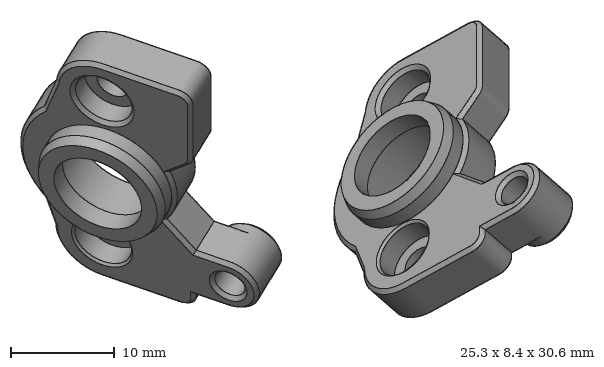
import cadquery as cq
import math


plate_thickness = 4.5
edge_chamfer = 0.4
corner_radius = 1.5
left_lobe_radius = 9.5
right_lobe_radius = 7.1
upper_edge_x = 8.77
lower_edge_x = 9.1
upper_slope_drop = 3.05

boss_radius = 13.38 / 2
boss_height = 2.5
boss_chamfer_radial = 0.4
boss_chamfer_axial = 1.0
bore_diameter = 9.3
bearing_seat_diameter = 11.2
bearing_seat_depth = 5.0

screw_x = -0.7
upper_screw_z = 10.5
lower_screw_z = -10.0
screw_hole_diameter = 3.4
counterbore_diameter = 6.0
counterbore_depth = 2.5
upper_counterbore_chamfer = 0.4
lower_counterbore_chamfer = 0.25

upper_end_radius = 5.0
lower_end_radius = 5.09
upper_flank_top_z = 10.93
upper_flank_bottom_z = 6.42
lower_flank_top_z = -6.57

lug_x = 12.665
lug_z = lower_screw_z
lug_radius = 6.25 / 2
lug_pin_height = 1.4
lug_hole_diameter = 3.2
lug_hole_chamfer = 0.4


def arc_point(center, radius, angle_degrees):
    """Point on a circle, with the angle measured from +X towards +Z."""
    angle = math.radians(angle_degrees)
    return (center[0] + radius * math.cos(angle), center[1] + radius * math.sin(angle))


def left_point(center, radius, z):
    """Point on the left half of a circle at height z."""
    return (center[0] - math.sqrt(radius**2 - (z - center[1]) ** 2), z)


def lobe_point(offset, side):
    """Point where the 45 degree line x - side * z = offset crosses the right lobe."""
    half_offset = offset / 2
    run = math.sqrt(right_lobe_radius**2 / 2 - half_offset**2)
    return (half_offset + run, side * (run - half_offset))


def cylinder(center, radius, y_front, y_back):
    """Cylinder along Y between two y positions."""
    sketch = cq.Workplane("XZ", origin=(center[0], y_back, center[1]))
    return sketch.circle(radius).extrude(y_back - y_front)


bore_center = (0, 0)
upper_screw = (screw_x, upper_screw_z)
lower_screw = (screw_x, lower_screw_z)
lug_center = (lug_x, lug_z)


def make_plate():
    """Plate outline with rounded corners and a chamfered front edge."""
    top_z = upper_screw_z + upper_end_radius
    bottom_z = lower_screw_z - lower_end_radius
    lug_top_z = lug_z + lug_radius
    lug_bottom_z = lug_z - lug_radius
    upper_slope_corner = (upper_edge_x, upper_edge_x - upper_slope_drop)
    lower_slope_offset = lower_edge_x + lug_top_z

    outline = (
        cq.Workplane("XZ", origin=(0, plate_thickness, 0))
        .moveTo(screw_x, top_z)
        .lineTo(upper_edge_x, top_z)
        .lineTo(*upper_slope_corner)
        .lineTo(*lobe_point(upper_slope_drop, 1))
        .threePointArc((right_lobe_radius, 0), lobe_point(lower_slope_offset, -1))
        .lineTo(lower_edge_x, lug_top_z)
        .lineTo(lug_x, lug_top_z)
        .threePointArc((lug_x + lug_radius, lug_z), (lug_x, lug_bottom_z))
        .lineTo(lower_edge_x, lug_bottom_z)
        .lineTo(lower_edge_x, bottom_z)
        .lineTo(screw_x, bottom_z)
        .threePointArc(
            arc_point(lower_screw, lower_end_radius, 225),
            (screw_x - lower_end_radius, lower_screw_z),
        )
        .lineTo(*left_point(bore_center, left_lobe_radius, lower_flank_top_z))
        .threePointArc(
            (-left_lobe_radius, 0),
            left_point(bore_center, left_lobe_radius, upper_flank_bottom_z),
        )
        .lineTo(*left_point(upper_screw, upper_end_radius, upper_flank_top_z))
        .threePointArc(arc_point(upper_screw, upper_end_radius, 135), (screw_x, top_z))
        .close()
    )
    plate = outline.extrude(plate_thickness)

    rounded_corners = [
        (upper_edge_x, top_z),
        upper_slope_corner,
        (lower_edge_x, bottom_z),
    ]
    for x, z in rounded_corners:
        corner_edge = cq.selectors.NearestToPointSelector((x, plate_thickness / 2, z))
        plate = plate.edges(corner_edge).fillet(corner_radius)
    return plate.faces("<Y").edges().chamfer(edge_chamfer)


def make_boss():
    """Boss in front of the plate with a long, shallow lead-in chamfer."""
    front_y = -boss_height
    root_y = plate_thickness / 2
    profile = [
        (0, front_y),
        (boss_radius - boss_chamfer_radial, front_y),
        (boss_radius, front_y + boss_chamfer_axial),
        (boss_radius, root_y),
        (0, root_y),
    ]
    return cq.Workplane("XY").polyline(profile).close().revolve(360, (0, 0), (0, 1))


def make_lug_pin():
    """Round pin continuing the lug behind the plate."""
    pin = cylinder(lug_center, lug_radius, plate_thickness / 2, plate_thickness + lug_pin_height)
    return pin.faces(">Y").edges().chamfer(edge_chamfer)


def make_hole(center, diameter, y_front, y_back, entry_chamfer=0):
    """Cutting body for a round hole, widened by 45 degrees where it enters at y_front."""
    hole = cylinder(center, diameter / 2, y_front, y_back)
    if entry_chamfer > 0:
        entry = (
            cq.Workplane("XZ", origin=(center[0], y_front, center[1]))
            .circle(diameter / 2 + entry_chamfer)
            .workplane(offset=-entry_chamfer)
            .circle(diameter / 2)
            .loft()
        )
        hole = hole.union(entry)
    return hole


body = make_plate().union(make_boss()).union(make_lug_pin())

body = body.cut(make_hole(bore_center, bore_diameter, -boss_height, plate_thickness))
seat_floor_y = plate_thickness - bearing_seat_depth
body = body.cut(make_hole(bore_center, bearing_seat_diameter, seat_floor_y, plate_thickness))

screw_holes = [
    (upper_screw, upper_counterbore_chamfer),
    (lower_screw, lower_counterbore_chamfer),
]
for screw, chamfer in screw_holes:
    body = body.cut(make_hole(screw, screw_hole_diameter, 0, plate_thickness))
    body = body.cut(make_hole(screw, counterbore_diameter, 0, counterbore_depth, chamfer))

lug_back_y = plate_thickness + lug_pin_height
result = body.cut(make_hole(lug_center, lug_hole_diameter, 0, lug_back_y, lug_hole_chamfer))